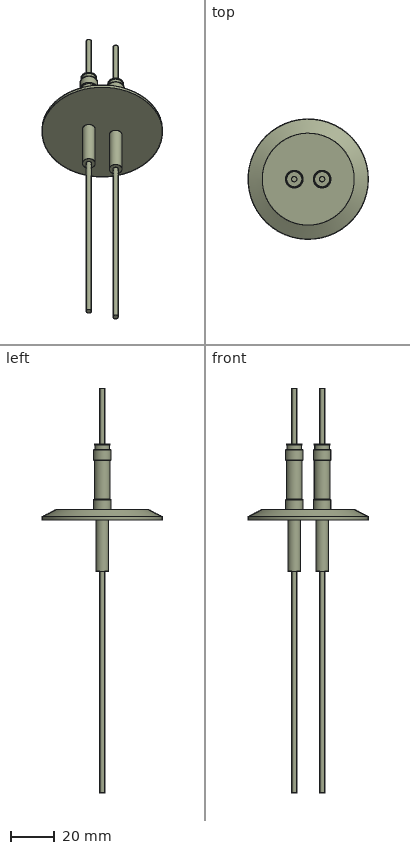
import cadquery as cq

FLANGE_DIAMETER = 54.86
FLANGE_FACE_DIAMETER = 41.9
FLANGE_HEIGHT = 4.95
RIM_HEIGHT = 1.6

FEEDTHROUGH_SPACING = 12.7

ROD_DIAMETER = 2.4
ROD_LENGTH = 184.15
ROD_TOP = 60.0

LOWER_SLEEVE_DIAMETER = 5.8
LOWER_SLEEVE_LENGTH = 23.3
UPPER_SLEEVE_DIAMETER = 7.2
UPPER_SLEEVE_TOP = 34.8
COLLAR_DIAMETER = 8.0
COLLAR_CHAMFER = 0.38
BASE_COLLAR_TOP = 9.6
CAP_COLLAR_BOTTOM = 27.1
CAP_COLLAR_TOP = 32.3

GROOVE_DIAMETER = 6.8
TIP_LIP_HEIGHT = 0.5


def cylinder(diameter, bottom, top):
    """Upright cylinder on the Z axis between two heights."""
    return cq.Workplane("XY").workplane(offset=bottom).circle(diameter / 2).extrude(top - bottom)


def make_flange():
    """Revolve the half section of the flange about Z."""
    rim_radius = FLANGE_DIAMETER / 2
    face_radius = FLANGE_FACE_DIAMETER / 2
    return (
        cq.Workplane("XZ")
        .moveTo(0, 0)
        .lineTo(rim_radius, 0)
        .lineTo(rim_radius, RIM_HEIGHT)
        .lineTo(face_radius, FLANGE_HEIGHT)
        .lineTo(0, FLANGE_HEIGHT)
        .close()
        .revolve(360, (0, 0, 0), (0, 1, 0))
    )


def make_feedthrough():
    """Stack the coaxial rod, sleeves and collars of one feedthrough."""
    groove_top = UPPER_SLEEVE_TOP - TIP_LIP_HEIGHT
    base_collar = cylinder(COLLAR_DIAMETER, 0, BASE_COLLAR_TOP).faces(">Z").chamfer(COLLAR_CHAMFER)
    cap_collar = cylinder(COLLAR_DIAMETER, CAP_COLLAR_BOTTOM, CAP_COLLAR_TOP)
    cap_collar = cap_collar.edges("%CIRCLE").chamfer(COLLAR_CHAMFER)
    body = cylinder(ROD_DIAMETER, ROD_TOP - ROD_LENGTH, ROD_TOP)
    body = body.union(cylinder(LOWER_SLEEVE_DIAMETER, -LOWER_SLEEVE_LENGTH, 0))
    body = body.union(base_collar)
    body = body.union(cylinder(UPPER_SLEEVE_DIAMETER, BASE_COLLAR_TOP, CAP_COLLAR_BOTTOM))
    body = body.union(cap_collar)
    body = body.union(cylinder(GROOVE_DIAMETER, CAP_COLLAR_TOP, groove_top))
    return body.union(cylinder(UPPER_SLEEVE_DIAMETER, groove_top, UPPER_SLEEVE_TOP))


result = make_flange()
for side in (-1, 1):
    feedthrough = make_feedthrough().translate((side * FEEDTHROUGH_SPACING / 2, 0, 0))
    result = result.union(feedthrough)